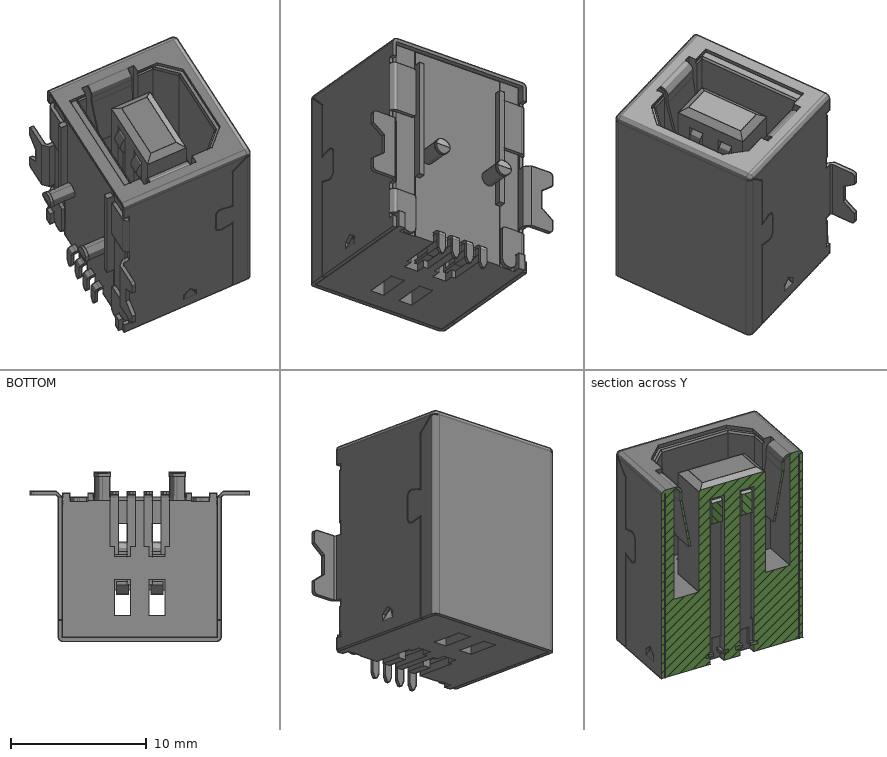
import cadquery as cq
import math


ARC_MIDDLE = math.sqrt(0.5)

SHIELD_WIDTH = 12.04
SHIELD_DEPTH = 10.67
SHIELD_HEIGHT = 16.09
SHEET = 0.3
BEND_RADIUS = 0.4
HALF_WIDTH = SHIELD_WIDTH / 2
INNER_HALF_WIDTH = HALF_WIDTH - SHEET
PLATE_UNDERSIDE = SHIELD_HEIGHT - SHEET

OPENING_HALF_WIDTH = 4.3
OPENING_FRONT = 0.93
OPENING_BACK = 9.64
OPENING_BEVEL = 1.4
NOTCH_HALF_WIDTH = 4.9
NOTCH_FRONT = 2.26
NOTCH_BACK = 6.59
NOTCH_MID = (NOTCH_FRONT + NOTCH_BACK) / 2

SPRING_THICKNESS = 0.2
SPRING_WIDTH = 3.33
SPRING_TIP_WIDTH = 2.78
SPRING_INNER_X = 4.24
SPRING_TIP_X = 3.48
SPRING_BEND_RADIUS = NOTCH_HALF_WIDTH - SPRING_INNER_X
SPRING_KNEE_Z = 14.75
SPRING_TIP_Z = 10.63

SEAM_GAP = 0.07
FLAP_EDGE_Y = 9.09
FLAP_TOP_Z = 14.56
FLAP_OVERRUN = 1.72
MITRE_Y = 10.24
MITRE_Z = 15.65
DOVETAIL_Z = 9.09
DOVETAIL_NECK = 2.05
DOVETAIL_HEAD = 2.76
DOVETAIL_LENGTH = 1.4
DOVETAIL_RADIUS = 0.45

DENT_Y = 5.5
DENT_WIDTH = 1.08
DENT_BASE_Z = 0.93
DENT_SHOULDER = 0.51
DENT_HEIGHT = 0.96

EDGE_NOTCH_DEPTH = 0.45
EDGE_NOTCHES = [(0.95, 3.91), (8.99, 14.56)]

TAB_OUTER_Y = 0.05
TAB_END_X = 3.91
TAB_RADIUS = 0.2
UPPER_TAB = (10.05, 14.06)
LOWER_TAB = (1.3, 3.33)
LEAF_OUTER_X = 5.1
LEAF_BOTTOM_Z = 0.05
LEAF_RADIUS = 0.51

FLANGE_SPAN = 16.2
FLANGE_END_X = FLANGE_SPAN / 2
FLANGE_BOTTOM_Z = 3.93
FLANGE_TOP_Z = 8.99
FLANGE_MID_Z = (FLANGE_BOTTOM_Z + FLANGE_TOP_Z) / 2
FLANGE_UPPER_DROP = 0.14
FLANGE_CORNER_RADIUS = 0.3
FLANGE_NOTCH_X = 7.12
FLANGE_NOTCH_MOUTH = 2.97
FLANGE_NOTCH_BASE = 1.51

FIT_GAP = 0.043
INSULATOR_HALF_WIDTH = INNER_HALF_WIDTH - FIT_GAP
INSULATOR_BACK = SHIELD_DEPTH - SHEET - FIT_GAP
INSULATOR_TOP = PLATE_UNDERSIDE
FRONT_EDGE_CHAMFER = 0.14
STRIP_Y = TAB_OUTER_Y + SHEET
PANEL_Y = 0.25
STRIP_INNER_X = 3.82
CORNER_CHAMFER = 0.19
FLOOR_Z = 6.52
CAVITY_HALF_WIDTH = 4.22
CAVITY_FRONT = 1.6
CAVITY_BACK = 9.25
CAVITY_BEVEL = 1.42
RIM_CHAMFER = 0.14

TONGUE_WIDTH = 5.7
TONGUE_FRONT = 3.64
TONGUE_BACK = 6.86
TONGUE_TOP = 15.5
TONGUE_BEVEL = 0.55
TONGUE_BEVEL_HEIGHT = 0.4

WINDOW_X = 1.27
WINDOW_WIDTH = 1.17
WINDOW_FRONT = 1.97
WINDOW_BACK = 8.73
SLOT_DEPTH = 0.77
SLOT_TOP_Z = 14.13

STAND_OFF = 0.27
RIB_WIDTH = 0.41
RIB_BOTTOM_Z = 5.08
RIB_TOP_Z = 14.55
FOOT_INNER_X = 5.15
FOOT_HEIGHT = 1.3
POST_X = 2.76
POST_Z = 7.08
POST_DIAMETER = 1.22
POST_WIDTH = 1.13
POST_LENGTH = 1.84
POST_HEAD = 0.33
POST_ROOF = 0.12

CONTACT_THICKNESS = 0.24
CONTACT_WIDTH = 0.91
CONTACT_TOP_Z = 13.9
CONTACT_INSET = 0.38
BUMP_HEIGHT = 0.33
BUMP_LENGTH = 2.05
SHOULDER_BOTTOM_Z = 2.05
SHOULDER_TOP_Z = 2.75
TAIL_WIDTH = 0.62
TAIL_FRONT_Y = -0.41
TAIL_TOP_Z = 0.85
TAIL_UNDERSIDE_Z = TAIL_TOP_Z - CONTACT_THICKNESS
TAIL_BOTTOM_Z = -1.06
TAIL_POINT_HEIGHT = 0.4
TAIL_POINT_WIDTH = 0.2
INNER_TAIL_X = 0.62
OUTER_TAIL_X = 1.87


def block(x, y, z):
    """Box between the two ends given for each axis."""
    size = (x[1] - x[0], y[1] - y[0], z[1] - z[0])
    return cq.Workplane("XY").box(*size, centered=False).translate((x[0], y[0], z[0]))


def both_sides(left):
    """The feature on the -X side together with its mirror image."""
    return left.union(left.mirror("YZ"))


def bevelled_outline(plane, half_width, front, back, bevel):
    """Rectangle whose two rear corners are cut off at 45 degrees."""
    return plane.polyline([
        (-half_width, front),
        (half_width, front),
        (half_width, back - bevel),
        (half_width - bevel, back),
        (bevel - half_width, back),
        (-half_width, back - bevel),
    ]).close()


def spring_notches(bottom, top):
    return block((-NOTCH_HALF_WIDTH, NOTCH_HALF_WIDTH), (NOTCH_FRONT, NOTCH_BACK), (bottom, top))



def shield_walls():
    """Top plate with side and rear walls, open at the seating face and at the bottom."""
    outside = block((-HALF_WIDTH, HALF_WIDTH), (0, SHIELD_DEPTH), (0, SHIELD_HEIGHT))
    outside = outside.edges("(>Z and (not <Y)) or (>Y and |Z)").fillet(BEND_RADIUS)
    inside = block(
        (-INNER_HALF_WIDTH, INNER_HALF_WIDTH), (0, SHIELD_DEPTH - SHEET), (0, PLATE_UNDERSIDE)
    )
    inside = inside.edges("(>Z and (not <Y)) or (>Y and |Z)").fillet(BEND_RADIUS - SHEET)
    opening = bevelled_outline(
        cq.Workplane("XY", origin=(0, 0, FLOOR_Z)),
        OPENING_HALF_WIDTH, OPENING_FRONT, OPENING_BACK, OPENING_BEVEL,
    ).extrude(SHIELD_HEIGHT)
    return outside.cut(inside).cut(opening).cut(spring_notches(FLOOR_Z, SHIELD_HEIGHT))


def flap(growth):
    """Rear flap with its mitred top and dovetail, enlarged all round by the growth.

    It overruns the rear wall and the lower rim, so only the seam edges lie on the side wall.
    """
    head_y = FLAP_EDGE_Y - DOVETAIL_LENGTH
    plane = cq.Workplane("YZ", origin=(-HALF_WIDTH, 0, 0))
    panel = plane.polyline([
        (FLAP_EDGE_Y, -FLAP_OVERRUN),
        (FLAP_EDGE_Y, FLAP_TOP_Z),
        (MITRE_Y, MITRE_Z),
        (SHIELD_DEPTH + FLAP_OVERRUN, MITRE_Z),
        (SHIELD_DEPTH + FLAP_OVERRUN, -FLAP_OVERRUN),
    ]).close().extrude(SHEET)
    dovetail = plane.polyline([
        (FLAP_EDGE_Y, DOVETAIL_Z - DOVETAIL_NECK / 2),
        (head_y, DOVETAIL_Z - DOVETAIL_HEAD / 2),
        (head_y, DOVETAIL_Z + DOVETAIL_HEAD / 2),
        (FLAP_EDGE_Y, DOVETAIL_Z + DOVETAIL_NECK / 2),
    ]).close().extrude(SHEET).edges("|X and <Y").fillet(DOVETAIL_RADIUS)
    outline = panel.union(dovetail).faces("<X").wires().toPending()
    if growth:
        outline = outline.offset2D(growth, "intersection")
    return outline.extrude(SHEET)


def seam():
    return flap(SEAM_GAP).cut(flap(0))


def dent():
    """Cut-out that leaves a triangular lug, sloping inward from its base to its upper point."""
    outline = cq.Workplane("YZ", origin=(-HALF_WIDTH, DENT_Y, DENT_BASE_Z)).polyline([
        (-DENT_WIDTH / 2, 0),
        (-DENT_WIDTH / 2, DENT_SHOULDER),
        (0, DENT_HEIGHT),
        (DENT_WIDTH / 2, DENT_SHOULDER),
        (DENT_WIDTH / 2, 0),
    ]).close().extrude(SHEET)
    lug_outline = cq.Workplane("YZ", origin=(-HALF_WIDTH, DENT_Y, DENT_BASE_Z)).polyline([
        (-DENT_WIDTH / 2, 0),
        (0, DENT_HEIGHT),
        (DENT_WIDTH / 2, 0),
    ]).close().extrude(SHEET)
    slope = cq.Workplane("XZ", origin=(-HALF_WIDTH, DENT_Y, DENT_BASE_Z)).polyline([
        (0, 0),
        (SHEET, DENT_HEIGHT),
        (SHEET, 0),
    ]).close().extrude(DENT_WIDTH, both=True)
    return outline.cut(lug_outline.intersect(slope))


def tab(bottom, top):
    """Strip that turns from the side wall onto the seating side of the insulator."""
    center_x = BEND_RADIUS - HALF_WIDTH
    center_y = TAB_OUTER_Y + BEND_RADIUS
    inner_radius = BEND_RADIUS - SHEET
    strip = (
        cq.Workplane("XY", origin=(0, 0, bottom))
        .moveTo(-HALF_WIDTH, center_y)
        .threePointArc(
            (center_x - BEND_RADIUS * ARC_MIDDLE, center_y - BEND_RADIUS * ARC_MIDDLE),
            (center_x, TAB_OUTER_Y),
        )
        .lineTo(-TAB_END_X, TAB_OUTER_Y)
        .lineTo(-TAB_END_X, TAB_OUTER_Y + SHEET)
        .lineTo(center_x, TAB_OUTER_Y + SHEET)
        .threePointArc(
            (center_x - inner_radius * ARC_MIDDLE, center_y - inner_radius * ARC_MIDDLE),
            (-INNER_HALF_WIDTH, center_y),
        )
        .close()
        .extrude(top - bottom)
    )
    return strip


def upper_tab():
    return tab(*UPPER_TAB).edges("|Y and >X").fillet(TAB_RADIUS)


def lower_tab():
    """Tab with a leaf that reaches down almost to the bottom rim."""
    leaf = block(
        (-LEAF_OUTER_X, -TAB_END_X), (TAB_OUTER_Y, TAB_OUTER_Y + SHEET), (LEAF_BOTTOM_Z, LOWER_TAB[1])
    ).edges("|Y and <Z").fillet(LEAF_RADIUS)
    return tab(*LOWER_TAB).union(leaf).edges("|Y and >X and >Z").fillet(TAB_RADIUS)


def flange():
    """Flange turned outward from the side wall over a 45 degree step, with a notched end."""
    lower_y = -FLANGE_UPPER_DROP - SHEET
    turn_x = -HALF_WIDTH - FLANGE_UPPER_DROP
    strip = cq.Workplane("XY", origin=(0, 0, FLANGE_BOTTOM_Z)).polyline([
        (-HALF_WIDTH, 0),
        (turn_x, -FLANGE_UPPER_DROP),
        (-FLANGE_END_X, -FLANGE_UPPER_DROP),
        (-FLANGE_END_X, lower_y),
        (turn_x, lower_y),
        (-INNER_HALF_WIDTH, 0),
    ]).close().extrude(FLANGE_TOP_Z - FLANGE_BOTTOM_Z)
    strip = strip.edges("|Y and <X").fillet(FLANGE_CORNER_RADIUS)
    notch = cq.Workplane("XZ", origin=(0, 0, FLANGE_MID_Z)).polyline([
        (-FLANGE_END_X, -FLANGE_NOTCH_MOUTH / 2),
        (-FLANGE_NOTCH_X, -FLANGE_NOTCH_BASE / 2),
        (-FLANGE_NOTCH_X, FLANGE_NOTCH_BASE / 2),
        (-FLANGE_END_X, FLANGE_NOTCH_MOUTH / 2),
    ]).close().extrude(-lower_y)
    return strip.cut(notch)


def spring():
    """Leaf that curls down from the notch edge and slopes inward to a narrower tip."""
    bend_z = SHIELD_HEIGHT - SPRING_BEND_RADIUS
    inner_radius = SPRING_BEND_RADIUS - SPRING_THICKNESS
    leaf = (
        cq.Workplane("XZ", origin=(0, NOTCH_MID, 0))
        .moveTo(-NOTCH_HALF_WIDTH, SHIELD_HEIGHT)
        .threePointArc(
            (-NOTCH_HALF_WIDTH + SPRING_BEND_RADIUS * ARC_MIDDLE, bend_z + SPRING_BEND_RADIUS * ARC_MIDDLE),
            (-SPRING_INNER_X, bend_z),
        )
        .lineTo(-SPRING_INNER_X, SPRING_KNEE_Z)
        .lineTo(-SPRING_TIP_X, SPRING_TIP_Z)
        .lineTo(-SPRING_TIP_X - SPRING_THICKNESS, SPRING_TIP_Z)
        .lineTo(-SPRING_INNER_X - SPRING_THICKNESS, SPRING_KNEE_Z)
        .lineTo(-SPRING_INNER_X - SPRING_THICKNESS, bend_z)
        .threePointArc(
            (-NOTCH_HALF_WIDTH + inner_radius * ARC_MIDDLE, bend_z + inner_radius * ARC_MIDDLE),
            (-NOTCH_HALF_WIDTH, SHIELD_HEIGHT - SPRING_THICKNESS),
        )
        .close()
        .extrude(SPRING_WIDTH / 2, both=True)
    )
    taper = cq.Workplane("YZ", origin=(-NOTCH_HALF_WIDTH, NOTCH_MID, 0)).polyline([
        (-SPRING_WIDTH / 2, SHIELD_HEIGHT),
        (-SPRING_WIDTH / 2, SPRING_KNEE_Z),
        (-SPRING_TIP_WIDTH / 2, SPRING_TIP_Z),
        (SPRING_TIP_WIDTH / 2, SPRING_TIP_Z),
        (SPRING_WIDTH / 2, SPRING_KNEE_Z),
        (SPRING_WIDTH / 2, SHIELD_HEIGHT),
    ]).close().extrude(NOTCH_HALF_WIDTH)
    return leaf.intersect(taper)


def shield():
    body = shield_walls()
    for bottom, top in EDGE_NOTCHES:
        body = body.cut(block((-HALF_WIDTH, HALF_WIDTH), (0, EDGE_NOTCH_DEPTH), (bottom, top)))
    body = body.cut(both_sides(seam())).cut(both_sides(dent()))
    for feature in (upper_tab(), lower_tab(), flange(), spring()):
        body = body.union(both_sides(feature))
    return body



def insulator_block():
    """Block with two sunken side strips, a chamfered cavity and slots behind the springs."""
    body = block(
        (-INSULATOR_HALF_WIDTH, INSULATOR_HALF_WIDTH), (STRIP_Y, INSULATOR_BACK), (0, INSULATOR_TOP)
    ).edges("|Z and <Y").chamfer(CORNER_CHAMFER)
    panel = block((-STRIP_INNER_X, STRIP_INNER_X), (PANEL_Y, INSULATOR_BACK), (0, INSULATOR_TOP))
    body = body.union(panel)
    edge_cut = cq.Workplane("YZ", origin=(-INSULATOR_HALF_WIDTH, PANEL_Y, INSULATOR_TOP)).polyline([
        (0, 0),
        (FRONT_EDGE_CHAMFER, 0),
        (0, -FRONT_EDGE_CHAMFER),
    ]).close().extrude(2 * INSULATOR_HALF_WIDTH)
    body = body.cut(edge_cut)
    cavity = bevelled_outline(
        cq.Workplane("XY", origin=(0, 0, FLOOR_Z)),
        CAVITY_HALF_WIDTH, CAVITY_FRONT, CAVITY_BACK, CAVITY_BEVEL,
    ).extrude(INSULATOR_TOP - FLOOR_Z)
    rim = bevelled_outline(
        cq.Workplane("XY", origin=(0, 0, INSULATOR_TOP - RIM_CHAMFER)),
        CAVITY_HALF_WIDTH, CAVITY_FRONT, CAVITY_BACK, CAVITY_BEVEL,
    ).extrude(RIM_CHAMFER, taper=-45)
    return body.cut(cavity).cut(rim).cut(spring_notches(FLOOR_Z, INSULATOR_TOP))


def tongue():
    return (
        block(
            (-TONGUE_WIDTH / 2, TONGUE_WIDTH / 2),
            (TONGUE_FRONT, TONGUE_BACK),
            (FLOOR_Z, TONGUE_TOP),
        )
        .faces(">Z")
        .chamfer(TONGUE_BEVEL_HEIGHT, TONGUE_BEVEL)
    )


def windows():
    """Four windows through the floor, each continued upward as a slot in the tongue."""
    front = (WINDOW_FRONT, TONGUE_FRONT + SLOT_DEPTH)
    back = (TONGUE_BACK - SLOT_DEPTH, WINDOW_BACK)
    x = (-WINDOW_X - WINDOW_WIDTH / 2, -WINDOW_X + WINDOW_WIDTH / 2)
    left = block(x, front, (0, SLOT_TOP_Z)).union(block(x, back, (0, SLOT_TOP_Z)))
    return both_sides(left)


def rib():
    x = (-STRIP_INNER_X, -STRIP_INNER_X + RIB_WIDTH)
    return block(x, (-STAND_OFF, STRIP_Y), (RIB_BOTTOM_Z, RIB_TOP_Z))


def foot():
    x = (-INSULATOR_HALF_WIDTH, -FOOT_INNER_X)
    return block(x, (-STAND_OFF, STRIP_Y + CORNER_CHAMFER), (0, FOOT_HEIGHT))


def post():
    """Locating post of two arcs that meet in edges above and below, with a round roof-shaped head."""
    radius = POST_DIAMETER / 2
    head_y = POST_HEAD - POST_LENGTH
    shaft = (
        cq.Workplane("XZ", origin=(-POST_X, STRIP_Y, POST_Z))
        .moveTo(0, -radius)
        .threePointArc((POST_WIDTH / 2, 0), (0, radius))
        .threePointArc((-POST_WIDTH / 2, 0), (0, -radius))
        .close()
        .extrude(STRIP_Y - head_y)
    )
    head = cq.Workplane("XZ", origin=(-POST_X, head_y, POST_Z)).circle(radius).extrude(POST_HEAD)
    roof = cq.Workplane("YZ", origin=(-POST_X - radius, 0, POST_Z)).polyline([
        (head_y, -radius),
        (POST_ROOF - POST_LENGTH, -radius),
        (-POST_LENGTH, 0),
        (POST_ROOF - POST_LENGTH, radius),
        (head_y, radius),
    ]).close().extrude(POST_DIAMETER)
    return shaft.union(head.intersect(roof))


def insulator():
    body = insulator_block().union(tongue()).cut(windows())
    for feature in (rib(), foot(), post()):
        body = body.union(both_sides(feature))
    return body



def contact_tail(x, back_y):
    """Run from the blade to the seating side, with a bend down to a pointed tail."""
    outer_radius = -TAIL_FRONT_Y
    inner_radius = outer_radius - CONTACT_THICKNESS
    bend_z = TAIL_TOP_Z - outer_radius
    strip = (
        cq.Workplane("YZ", origin=(x, 0, 0))
        .moveTo(back_y, TAIL_TOP_Z)
        .lineTo(0, TAIL_TOP_Z)
        .threePointArc(
            (-outer_radius * ARC_MIDDLE, bend_z + outer_radius * ARC_MIDDLE), (TAIL_FRONT_Y, bend_z)
        )
        .lineTo(TAIL_FRONT_Y, TAIL_BOTTOM_Z)
        .lineTo(TAIL_FRONT_Y + CONTACT_THICKNESS, TAIL_BOTTOM_Z)
        .lineTo(TAIL_FRONT_Y + CONTACT_THICKNESS, bend_z)
        .threePointArc(
            (-inner_radius * ARC_MIDDLE, bend_z + inner_radius * ARC_MIDDLE), (0, TAIL_UNDERSIDE_Z)
        )
        .lineTo(back_y, TAIL_UNDERSIDE_Z)
        .close()
        .extrude(TAIL_WIDTH / 2, both=True)
    )
    point_start = TAIL_BOTTOM_Z + TAIL_POINT_HEIGHT
    outline = cq.Workplane("XZ", origin=(x, back_y, 0)).polyline([
        (-TAIL_WIDTH / 2, TAIL_TOP_Z),
        (-TAIL_WIDTH / 2, point_start),
        (-TAIL_POINT_WIDTH / 2, TAIL_BOTTOM_Z),
        (TAIL_POINT_WIDTH / 2, TAIL_BOTTOM_Z),
        (TAIL_WIDTH / 2, point_start),
        (TAIL_WIDTH / 2, TAIL_TOP_Z),
    ]).close().extrude(back_y - TAIL_FRONT_Y)
    return strip.intersect(outline)


def contact(blade_x, tail_x, face_y, outward):
    """Blade in a tongue slot, its bump facing outward (-1 or 1 along Y), and its tail."""
    outer_y = face_y - outward * CONTACT_INSET
    inner_y = outer_y - outward * CONTACT_THICKNESS
    bump_y = face_y + outward * BUMP_HEIGHT
    blade_depth = (min(outer_y, inner_y), max(outer_y, inner_y))
    blade_sides = (blade_x - CONTACT_WIDTH / 2, blade_x + CONTACT_WIDTH / 2)
    tail_sides = (tail_x - TAIL_WIDTH / 2, tail_x + TAIL_WIDTH / 2)
    all_sides = (min(blade_sides[0], tail_sides[0]), max(blade_sides[1], tail_sides[1]))

    blade = block(blade_sides, blade_depth, (SHOULDER_BOTTOM_Z, CONTACT_TOP_Z))
    shoulder = block(all_sides, blade_depth, (SHOULDER_BOTTOM_Z, SHOULDER_TOP_Z))
    leg = block(tail_sides, blade_depth, (TAIL_UNDERSIDE_Z, SHOULDER_TOP_Z))
    bump = (
        cq.Workplane("YZ", origin=(blade_x, 0, 0))
        .moveTo(outer_y, CONTACT_TOP_Z - BUMP_LENGTH)
        .threePointArc((bump_y, CONTACT_TOP_Z - BUMP_LENGTH / 2), (outer_y, CONTACT_TOP_Z))
        .close()
        .extrude(CONTACT_WIDTH / 2, both=True)
    )
    tail = contact_tail(tail_x, blade_depth[1])
    return blade.union(shoulder).union(leg).union(bump).union(tail)


def tail_channel(x):
    """Channel below a contact's run, open at the bottom rim and the seating face."""
    sides = (x - TAIL_WIDTH / 2, x + TAIL_WIDTH / 2)
    return block(sides, (PANEL_Y, TONGUE_FRONT), (0, TAIL_UNDERSIDE_Z))


contacts = []
for side in (-1, 1):
    contacts.append(contact(side * WINDOW_X, side * OUTER_TAIL_X, TONGUE_FRONT, -1))
    contacts.append(contact(side * WINDOW_X, side * INNER_TAIL_X, TONGUE_BACK, 1))

shielded_housing = shield().union(insulator())
for tail_x in (-OUTER_TAIL_X, -INNER_TAIL_X, INNER_TAIL_X, OUTER_TAIL_X):
    shielded_housing = shielded_housing.cut(tail_channel(tail_x))
for pin in contacts:
    shielded_housing = shielded_housing.cut(pin)

result = cq.Compound.makeCompound([shielded_housing.val(), *[pin.val() for pin in contacts]])